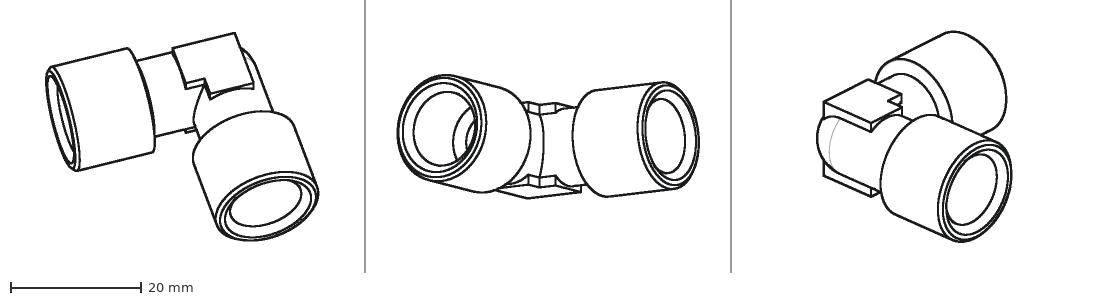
import cadquery as cq
import math

overall = 33.75
collar_radius = 16.5 / 2
arm_length = overall - collar_radius
pipe_radius = 12.0 / 2

collar_start = 12.3
collar_cone_length = 0.6
collar_rim_height = 0.25
end_chamfer = 0.55

bore_radius = 8.0 / 2
socket_radius = 11.45 / 2
socket_bottom = 13.5
mouth_radius = 6.92
mouth_depth = 1.2
drill_point_angle = 118.0

pad_side = 10.0
pad_leg_width = 7.0
pad_corner = 3.5
pad_height = 6.45


def place_arms(profile):
    """Revolve an (axial, radial) profile about X and return it on both arms."""
    x_arm = cq.Workplane("XY").polyline(profile).close().revolve(360, (0, 0, 0), (1, 0, 0))
    y_arm = x_arm.rotate((0, 0, 0), (0, 0, 1), -90)
    return x_arm.union(y_arm)


def make_arms():
    cone_end = collar_start + collar_cone_length
    return place_arms([
        (0, 0),
        (0, pipe_radius),
        (collar_start, pipe_radius),
        (cone_end, collar_radius - collar_rim_height),
        (cone_end, collar_radius),
        (arm_length - end_chamfer, collar_radius),
        (arm_length, collar_radius - end_chamfer),
        (arm_length, 0),
    ])


def make_bores():
    point_slope = 1 / math.tan(math.radians(drill_point_angle / 2))
    point_length = bore_radius * point_slope
    step_length = (socket_radius - bore_radius) * point_slope
    return place_arms([
        (-point_length, 0),
        (0, bore_radius),
        (socket_bottom - step_length, bore_radius),
        (socket_bottom, socket_radius),
        (arm_length - mouth_depth, socket_radius),
        (arm_length, mouth_radius),
        (arm_length, 0),
    ])


def make_pads():
    """L-shaped prism through the elbow; only its top and bottom stand proud."""
    reach = pad_side - pad_corner
    notch = pad_leg_width - pad_corner
    outline = [
        (-pad_corner, pad_corner),
        (reach, pad_corner),
        (reach, -notch),
        (notch, -notch),
        (notch, -reach),
        (-pad_corner, -reach),
    ]
    return cq.Workplane("XY").polyline(outline).close().extrude(pad_height, both=True)


elbow = make_arms().union(cq.Workplane("XY").sphere(pipe_radius))
result = elbow.union(make_pads()).cut(make_bores())